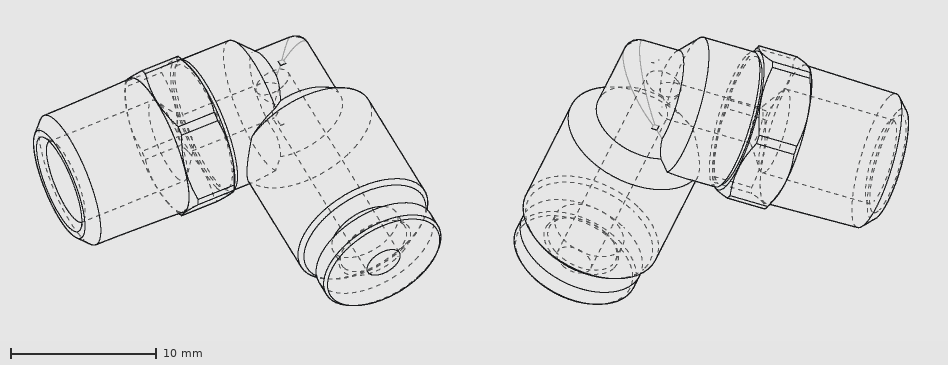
import cadquery as cq
import math


elbow_radius = 3.5
elbow_leg_length = 5.5
corner_fillet = 0.88
mitre_tip_trim = 0.02

socket_radius = 5.0
socket_cone_start = 2.53
socket_cone_end = socket_cone_start + socket_radius - elbow_radius
socket_end = 13.0
socket_chamfer = 0.3
neck_radius = 2.55
collar_radius = 4.5
collar_start = 14.52
collar_end = 15.88
collar_chamfer = 0.2

shoulder_radius = 4.85
shoulder_start = 0.64
shoulder_cone_end = shoulder_start + shoulder_radius - elbow_radius
shoulder_chamfer = 0.26
hex_start = 5.98
hex_end = 9.5
hex_across_flats = 10.0
hex_across_corners = hex_across_flats / math.cos(math.pi / 6)
hex_corner_radius = 5.6
hex_face_radius = 4.97
hex_chamfer_length = 0.37
thread_start_radius = 4.95
thread_end_radius = 4.8
thread_end = 17.0
thread_chamfer = 0.81

passage_radius = 1.28
bore_radius = 3.0
bore_chamfer = 0.5
bore_depth = 8.35
bore_cone_length = 1.32


def turned_on_x(profile):
    """Revolve (distance along +X, radius) points about the X axis."""
    return cq.Workplane("XY").polyline(profile).close().revolve(360, (0, 0), (1, 0))


def turned_on_y(profile):
    """Revolve (distance along -Y, radius) points about the Y axis."""
    points = [(radius, -distance) for distance, radius in profile]
    return cq.Workplane("XY").polyline(points).close().revolve(360, (0, 0), (0, 1))


def make_elbow():
    """Two equal half-length cylinders meeting in a mitred corner whose outer edge is rounded."""
    x_leg = cq.Workplane("YZ").circle(elbow_radius).extrude(elbow_leg_length)
    y_leg = cq.Workplane("XZ").circle(elbow_radius).extrude(elbow_leg_length)

    x_overrun = cq.Workplane("YZ").circle(elbow_radius).extrude(-elbow_radius)
    y_overrun = cq.Workplane("XZ").circle(elbow_radius).extrude(-elbow_radius)
    mitre = x_overrun.intersect(y_overrun).union(x_leg).union(y_leg)

    trim_size = 4 * elbow_leg_length
    trim_block = cq.Workplane("XY").box(trim_size, trim_size, 2 * (elbow_radius - mitre_tip_trim))
    corner_box = cq.selectors.BoxSelector(
        (-elbow_radius, 0, -elbow_radius),
        (-mitre_tip_trim, elbow_radius, elbow_radius),
    )
    trimmed = mitre.intersect(trim_block)
    mitre_edges = trimmed.edges(corner_box).edges("not(%LINE or %CIRCLE)")
    rounded = mitre_edges.fillet(corner_fillet)
    return rounded.union(x_leg).union(y_leg)


def make_socket():
    """Tube socket with its release collar."""
    return turned_on_x([
        (socket_cone_start, 0),
        (socket_cone_start, elbow_radius),
        (socket_cone_end, socket_radius),
        (socket_end - socket_chamfer, socket_radius),
        (socket_end, socket_radius - socket_chamfer),
        (socket_end, neck_radius),
        (collar_start - collar_chamfer, neck_radius),
        (collar_start, neck_radius + collar_chamfer),
        (collar_start, collar_radius),
        (collar_end - collar_chamfer, collar_radius),
        (collar_end, collar_radius - collar_chamfer),
        (collar_end, 0),
    ])


def make_shoulder():
    return turned_on_y([
        (shoulder_start, 0),
        (shoulder_start, elbow_radius),
        (shoulder_cone_end, shoulder_radius),
        (hex_start - shoulder_chamfer, shoulder_radius),
        (hex_start, shoulder_radius - shoulder_chamfer),
        (hex_start, 0),
    ])


def make_hexagon():
    """Hexagon with flats facing +Z and -Z, its corners and end edges turned down."""
    prism = (
        cq.Workplane("XZ")
        .workplane(offset=hex_start)
        .polygon(6, hex_across_corners)
        .extrude(hex_end - hex_start)
    )
    turned_blank = turned_on_y([
        (hex_start, 0),
        (hex_start, hex_face_radius),
        (hex_start + hex_chamfer_length, hex_corner_radius),
        (hex_end - hex_chamfer_length, hex_corner_radius),
        (hex_end, hex_face_radius),
        (hex_end, 0),
    ])
    return prism.intersect(turned_blank)


def make_thread():
    return turned_on_y([
        (hex_end, 0),
        (hex_end, thread_start_radius),
        (thread_end - thread_chamfer, thread_end_radius),
        (thread_end, thread_end_radius - thread_chamfer),
        (thread_end, 0),
    ])


def make_passages():
    """Thread bore with a conical bottom, meeting a passage out through the collar."""
    thread_bore = turned_on_y([
        (0, 0),
        (0, passage_radius),
        (thread_end - bore_depth - bore_cone_length, passage_radius),
        (thread_end - bore_depth, bore_radius),
        (thread_end - bore_chamfer, bore_radius),
        (thread_end, bore_radius + bore_chamfer),
        (thread_end, 0),
    ])
    tube_passage = cq.Workplane("YZ").workplane(offset=-passage_radius).circle(passage_radius)
    return thread_bore.union(tube_passage.extrude(passage_radius + collar_end))


body = make_elbow()
for section in (make_socket(), make_shoulder(), make_hexagon(), make_thread()):
    body = body.union(section)
result = body.cut(make_passages())